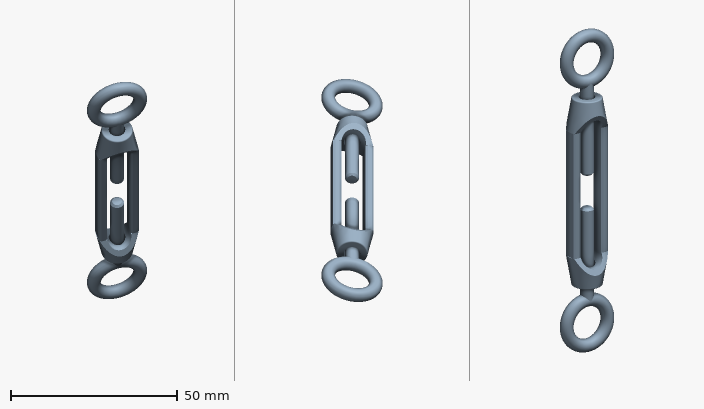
import cadquery as cq
import math

total_length = 104.2

eye_outer_diameter = 18.9
rod_diameter = 4.2
rod_tip_height = 5.3
rod_tip_chamfer = 0.6

body_end_height = 30.3
collar_base_height = 20.2
collar_end_radius = 4.7
collar_base_radius = 6.5
collar_rim_fillet = 0.4
wedge_angle = 30.0
rod_hole_diameter = 5.0
bar_thickness_x = 4.6
bar_outer_y = 6.3
slot_radius = 3.8
bar_chamfer_x = 0.3
bar_chamfer_y = 0.6

wire_radius = rod_diameter / 2
eye_center_radius = eye_outer_diameter / 2 - wire_radius
eye_center_height = total_length / 2 - eye_outer_diameter / 2
ends = (1, -1)


def make_collar():
    """Tapered upper collar, cut to a wedge that narrows down to the bars."""
    collar_height = body_end_height - collar_base_height
    cone = cq.Workplane(cq.Solid.makeCone(
        collar_base_radius, collar_end_radius, collar_height,
        pnt=cq.Vector(0, 0, collar_base_height),
    ))
    cone = cone.faces(">Z").edges().fillet(collar_rim_fillet)
    half_base = bar_thickness_x / 2
    half_top = half_base + collar_height * math.tan(math.radians(wedge_angle))
    wedge = (
        cq.Workplane("XZ")
        .polyline([
            (-half_base, collar_base_height),
            (half_base, collar_base_height),
            (half_top, body_end_height),
            (-half_top, body_end_height),
        ])
        .close()
        .extrude(collar_base_radius, both=True)
    )
    return cone.intersect(wedge)


def make_bar(side):
    """Straight chamfered bar joining the two collars on one Y side."""
    half_x = bar_thickness_x / 2
    half_y = (bar_outer_y - slot_radius) / 2
    flat_x = half_x - bar_chamfer_x
    flat_y = half_y - bar_chamfer_y
    return (
        cq.Workplane("XY")
        .center(0, side * (bar_outer_y + slot_radius) / 2)
        .polyline([
            (half_x, -flat_y),
            (half_x, flat_y),
            (flat_x, half_y),
            (-flat_x, half_y),
            (-half_x, flat_y),
            (-half_x, -flat_y),
            (-flat_x, -half_y),
            (flat_x, -half_y),
        ])
        .close()
        .extrude(collar_base_height, both=True)
    )


def make_body():
    """Open frame: two collars, two bars, a round-ended window and end holes."""
    upper_collar = make_collar()
    window = (
        cq.Workplane("YZ")
        .slot2D(2 * (collar_base_height + slot_radius), 2 * slot_radius, 90)
        .extrude(collar_base_radius, both=True)
    )
    rod_hole = cq.Workplane("XY").circle(rod_hole_diameter / 2).extrude(body_end_height, both=True)
    body = upper_collar.union(upper_collar.mirror("XY"))
    body = body.cut(window)
    for side in ends:
        body = body.union(make_bar(side))
    return body.cut(rod_hole)


def make_eye_bolt(end):
    """Ring in the YZ plane with a rod toward the middle; end is +1 for top, -1 for bottom."""
    ring = cq.Workplane(cq.Solid.makeTorus(
        eye_center_radius, wire_radius,
        pnt=cq.Vector(0, 0, eye_center_height), dir=cq.Vector(1, 0, 0),
    ))
    rod_top = eye_center_height - eye_center_radius
    rod = (
        cq.Workplane("XY", origin=(0, 0, rod_tip_height))
        .circle(wire_radius)
        .extrude(rod_top - rod_tip_height)
        .faces("<Z")
        .chamfer(rod_tip_chamfer)
    )
    bolt = ring.union(rod)
    return bolt if end > 0 else bolt.mirror("XY")


body = make_body()
eye_bolts = [make_eye_bolt(end) for end in ends]

result = cq.Compound.makeCompound([body.val(), *[bolt.val() for bolt in eye_bolts]])